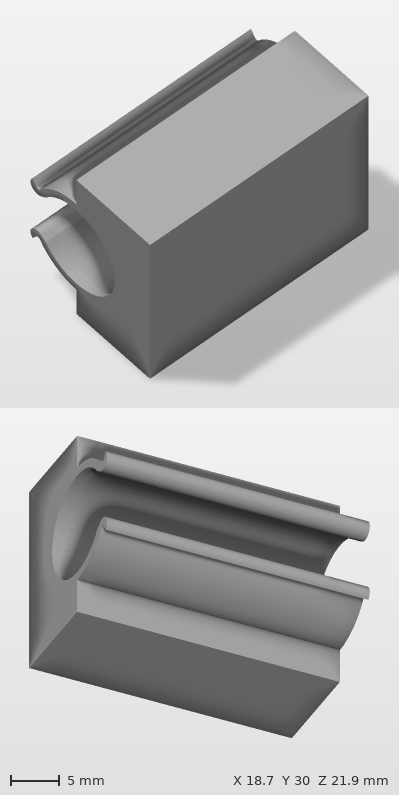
import cadquery as cq
import math

length = 30.0
block_depth = 11.5
block_height = 21.9
bore_radius = 6.0
wall = 1.0
sleeve_radius = bore_radius + wall

clip_reach = 7.17
mouth_half_gap = 3.0
lip_radius = 1.08
valley_radius = 0.4
valley_floor = 3.93
arm_end_x = -4.77
tip_angle = math.radians(132)
valley_start_angle = math.radians(238)


def polar(center, radius, angle):
    """Point on a circle in the XZ profile."""
    return (center[0] + radius * math.cos(angle), center[1] + radius * math.sin(angle))


def extrude_profile(sketch):
    """Extrude an XZ profile symmetrically along Y."""
    return sketch.extrude(length / 2, both=True)


def make_block():
    block = cq.Workplane("XY").box(block_depth, length, block_height)
    block = block.translate((block_depth / 2, 0, 0))
    bore = extrude_profile(cq.Workplane("XZ").circle(bore_radius))
    return block.cut(bore)


def make_upper_arm():
    origin = (0.0, 0.0)
    lip_center = (lip_radius - clip_reach, mouth_half_gap + lip_radius)

    valley_z = valley_floor + valley_radius
    valley_x = -math.sqrt((sleeve_radius + valley_radius) ** 2 - valley_z**2)
    valley_center = (valley_x, valley_z)
    valley_direction = math.atan2(valley_z, valley_x)
    valley_end = polar(origin, sleeve_radius, valley_direction)
    valley_end_angle = valley_direction + math.pi
    valley_mid_angle = (valley_start_angle + valley_end_angle) / 2

    arm_end = (arm_end_x, math.sqrt(bore_radius**2 - arm_end_x**2))
    arm_end_angle = math.atan2(arm_end[1], arm_end[0])
    dx = arm_end[0] - lip_center[0]
    dz = arm_end[1] - lip_center[1]
    lip_end_angle = math.atan2(dz, dx) - math.acos(lip_radius / math.hypot(dx, dz)) + 2 * math.pi
    lip_mid_angle = (tip_angle + lip_end_angle) / 2

    profile = (
        cq.Workplane("XZ")
        .moveTo(0, bore_radius)
        .lineTo(0, sleeve_radius)
        .threePointArc(polar(origin, sleeve_radius, (math.pi / 2 + valley_direction) / 2), valley_end)
        .threePointArc(
            polar(valley_center, valley_radius, valley_mid_angle),
            polar(valley_center, valley_radius, valley_start_angle),
        )
        .lineTo(*polar(lip_center, lip_radius, tip_angle))
        .threePointArc(
            polar(lip_center, lip_radius, lip_mid_angle),
            polar(lip_center, lip_radius, lip_end_angle),
        )
        .lineTo(*arm_end)
        .threePointArc(polar(origin, bore_radius, (math.pi / 2 + arm_end_angle) / 2), (0, bore_radius))
        .close()
    )
    return extrude_profile(profile)


upper_arm = make_upper_arm()
lower_arm = upper_arm.mirror("XY")
result = make_block().union(upper_arm).union(lower_arm)